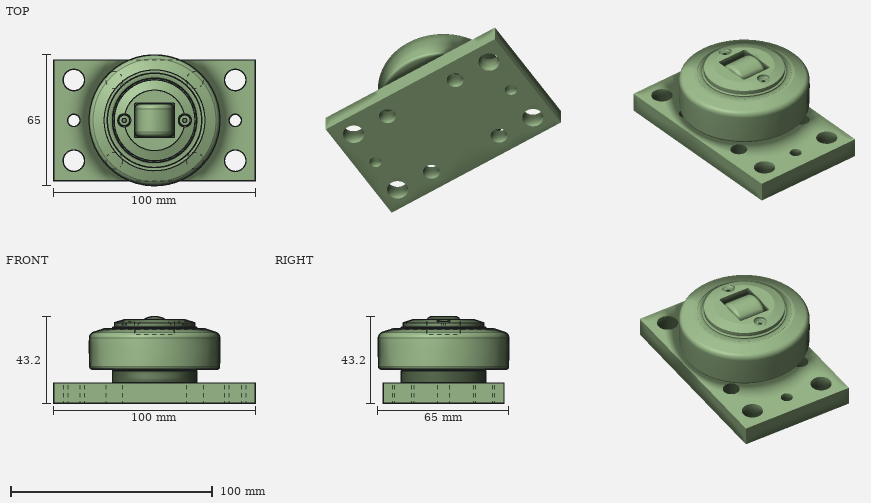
import cadquery as cq
import math

plate_length = 100.0
plate_width = 60.0
plate_thickness = 10.15
corner_hole_diameter = 10.5
end_hole_x = 40.0
corner_hole_y = 20.0
dowel_hole_diameter = 6.0
inner_hole_diameter = 8.38
inner_hole_offset = 20.0

overall_height = 43.15
neck_radius = 21.0
neck_chamfer = 0.5
neck_base_chamfer = 0.25
neck_chamfer_start = 16.05
shoulder_radius = 21.0
shoulder_chamfer = 0.25
shoulder_top = 37.8
cap_radius = 20.0
cap_cone_bottom = 39.9
cap_top = 41.6
cap_flat_radius = 15.0

roller_radius = 32.5
roller_crown_radius = 150.0
roller_bottom = 16.8
roller_top = 37.0
roller_lower_fillet = 1.5
roller_mid = (roller_bottom + roller_top) / 2
crown_bottom = roller_bottom + roller_lower_fillet
crown_top = 32.4
roller_cone_radius = 30.5
roller_cone_bottom = 35.15
roller_flat_radius = 25.0
seal_outer_radius = 23.5
seal_groove_width = 0.2
seal_groove_depth = 0.3
seal_inset = 0.1

pocket_length = 20.0
pocket_width = 17.0
pocket_corner_radius = 0.8
side_roller_radius = 10.0
side_roller_crown = 0.1
side_roller_width = 16.4
side_roller_fillet = 2.5
side_roller_axis_z = overall_height - side_roller_radius
pocket_floor = side_roller_axis_z + 1.0

screw_offset = 15.0
counterbore_diameter = 6.5
head_diameter = 5.35
head_top = 39.9
socket_sides = 6
socket_across_corners = 2.31
socket_depth = 1.2


def plate_holes(diameter, x_offset, y_offsets):
    """Through holes at plus and minus x_offset, for each given Y."""
    centres = [(x, y) for x in (-x_offset, x_offset) for y in y_offsets]
    return cq.Workplane("XY").pushPoints(centres).circle(diameter / 2).extrude(plate_thickness)


def base_plate():
    plate = cq.Workplane("XY").box(plate_length, plate_width, plate_thickness, centered=(True, True, False))
    plate = plate.cut(plate_holes(corner_hole_diameter, end_hole_x, (-corner_hole_y, corner_hole_y)))
    plate = plate.cut(plate_holes(dowel_hole_diameter, end_hole_x, (0,)))
    inner_rows = (-inner_hole_offset, inner_hole_offset)
    return plate.cut(plate_holes(inner_hole_diameter, inner_hole_offset, inner_rows))


def crown_radius_at(height):
    """Radius of the crowned rolling surface at a given height."""
    drop = height - roller_mid
    return roller_radius - roller_crown_radius + math.sqrt(roller_crown_radius**2 - drop**2)


def turned_body():
    """Pin and crowned roller as one revolved profile (radius, height)."""
    lower_edge_radius = crown_radius_at(crown_bottom)
    lower_flat_radius = lower_edge_radius - roller_lower_fillet
    seal_radius = seal_outer_radius - seal_groove_width
    fillet_offset = roller_lower_fillet * math.sqrt(0.5)
    lower_fillet_mid = (lower_flat_radius + fillet_offset, crown_bottom - fillet_offset)
    profile = (
        cq.Workplane("XZ")
        .moveTo(0, plate_thickness)
        .lineTo(neck_radius - neck_base_chamfer, plate_thickness)
        .lineTo(neck_radius, plate_thickness + neck_base_chamfer)
        .lineTo(neck_radius, neck_chamfer_start)
        .lineTo(neck_radius - neck_chamfer, neck_chamfer_start + neck_chamfer)
        .lineTo(neck_radius - neck_chamfer, roller_bottom)
        .lineTo(lower_flat_radius, roller_bottom)
        .threePointArc(lower_fillet_mid, (lower_edge_radius, crown_bottom))
        .threePointArc((roller_radius, roller_mid), (crown_radius_at(crown_top), crown_top))
        .tangentArcPoint((roller_cone_radius, roller_cone_bottom), relative=False)
        .lineTo(roller_flat_radius, roller_top)
        .lineTo(seal_outer_radius, roller_top)
        .lineTo(seal_outer_radius, roller_top - seal_groove_depth)
        .lineTo(seal_radius, roller_top - seal_groove_depth)
        .lineTo(seal_radius, roller_top - seal_inset)
        .lineTo(shoulder_radius, roller_top - seal_inset)
        .lineTo(shoulder_radius, shoulder_top - shoulder_chamfer)
        .lineTo(shoulder_radius - shoulder_chamfer, shoulder_top)
        .lineTo(cap_radius, shoulder_top)
        .lineTo(cap_radius, cap_cone_bottom)
        .lineTo(cap_flat_radius, cap_top)
        .lineTo(0, cap_top)
        .close()
    )
    return profile.revolve(360, (0, 0, 0), (0, 1, 0))


def roller_pocket():
    height = cap_top - pocket_floor
    pocket = cq.Workplane("XY").box(pocket_length, pocket_width, height, centered=(True, True, False))
    return pocket.edges("|Z").fillet(pocket_corner_radius).translate((0, 0, pocket_floor))


def side_roller():
    """Crowned roller along Y, with rounded rims, turned from a profile (radius, axial position)."""
    half_width = side_roller_width / 2
    crown_end = half_width - side_roller_fillet
    rim_radius = side_roller_radius - side_roller_crown
    face_radius = rim_radius - side_roller_fillet
    rim_mid = side_roller_fillet * math.sqrt(0.5)
    profile = (
        cq.Workplane("XY")
        .moveTo(0, -half_width)
        .lineTo(face_radius, -half_width)
        .threePointArc((face_radius + rim_mid, -crown_end - rim_mid), (rim_radius, -crown_end))
        .threePointArc((side_roller_radius, 0), (rim_radius, crown_end))
        .threePointArc((face_radius + rim_mid, crown_end + rim_mid), (face_radius, half_width))
        .lineTo(0, half_width)
        .close()
    )
    roller = profile.revolve(360, (0, 0, 0), (0, 1, 0))
    return roller.translate((0, 0, side_roller_axis_z))


def screw_recess(x):
    """Counterbore narrowing in a 45 degree cone to a flat screw head with a hexagon socket."""
    bore_radius = counterbore_diameter / 2
    head_radius = head_diameter / 2
    cone_top = head_top + bore_radius - head_radius
    profile = (
        cq.Workplane("XZ")
        .moveTo(0, head_top)
        .lineTo(head_radius, head_top)
        .lineTo(bore_radius, cone_top)
        .lineTo(bore_radius, cap_top)
        .lineTo(0, cap_top)
        .close()
    )
    recess = profile.revolve(360, (0, 0, 0), (0, 1, 0))
    socket_plane = cq.Workplane("XY", origin=(0, 0, head_top))
    socket = socket_plane.polygon(socket_sides, socket_across_corners).extrude(-socket_depth)
    return recess.union(socket).translate((x, 0, 0))


result = base_plate().union(turned_body())
result = result.cut(roller_pocket()).union(side_roller())
for side in (-1, 1):
    result = result.cut(screw_recess(side * screw_offset))